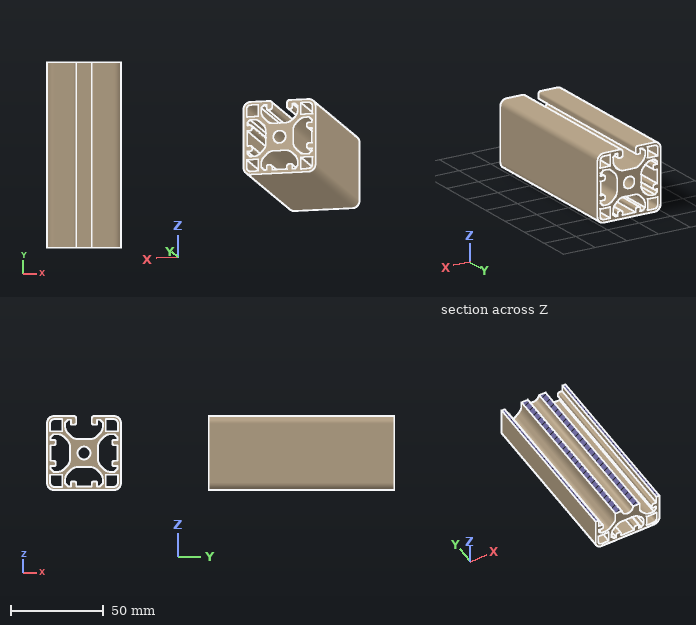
import cadquery as cq

side = 40.0
length = 100.0
corner_radius = 4.0
half_side = side / 2
half_length = length / 2

bore_diameter = 6.8

hollow_wall = 1.8
hollow_inner = 11.8
hollow_outer = half_side - hollow_wall
hollow_radius = corner_radius - hollow_wall

skin = 2.1
cavity_half_width = 10.1
cavity_floor = 7.6
cavity_ceiling = half_side - skin
ceiling_chamfer = 1.6
flank_rise = 2.1
flank_radius = 5.0

slot_half_width = 4.1
lip_width = 3.0
lip_tip = 15.2
lip_outer_radius = 0.8
lip_inner_radius = 1.2
mouth_radius = 1.5

side_turns = (0, 90, 180, 270)


def bar(left, bottom, right, top):
    """Full-length rectangular bar with the given limits in X and Z."""
    centre = ((left + right) / 2, 0, (bottom + top) / 2)
    return cq.Workplane("XY").box(right - left, length, top - bottom).translate(centre)


def turned(shape, angle):
    """Shape rotated about the profile axis."""
    return shape.rotate((0, 0, 0), (0, 1, 0), angle)


def make_body():
    """Solid square bar with rounded long edges."""
    return bar(-half_side, -half_side, half_side, half_side).edges("|Y").fillet(corner_radius)


def make_bore():
    """Round bore along the profile axis."""
    return cq.Workplane("XZ").circle(bore_diameter / 2).extrude(half_length, both=True)


def make_corner_hollow():
    """Hollow of the +X +Z corner, rounded only at its outermost edge."""
    hollow = bar(hollow_inner, hollow_inner, hollow_outer, hollow_outer)
    return hollow.edges(">X and >Z").fillet(hollow_radius)


def make_lip():
    """Lip on the +X side of the top slot, reaching up to the outer face."""
    lip = bar(slot_half_width, lip_tip, slot_half_width + lip_width, half_side)
    lip = lip.edges("<X and <Z").fillet(lip_inner_radius)
    return lip.edges("|Y and >X and <Z").fillet(lip_outer_radius)


def make_cavity():
    """Cavity under the skin of the top side, with both lips left standing."""
    floor_corner = (cavity_floor - flank_rise, cavity_floor)
    wall_corner = (cavity_half_width, cavity_half_width + flank_rise)
    right_side = [
        floor_corner,
        wall_corner,
        (cavity_half_width, cavity_ceiling - ceiling_chamfer),
        (cavity_half_width - ceiling_chamfer, cavity_ceiling),
    ]
    left_side = [(-x, z) for x, z in reversed(right_side)]
    cavity = cq.Workplane("XZ").polyline(right_side + left_side).close().extrude(half_length, both=True)
    for x, z in (floor_corner, wall_corner):
        for sign in (-1, 1):
            cavity = cavity.edges(cq.NearestToPointSelector((sign * x, 0, z))).fillet(flank_radius)

    lip = make_lip()
    return cavity.cut(lip).cut(lip.mirror("YZ"))


def make_slot_mouth():
    """Opening through the top skin between the lips, flared by rounded edges."""
    flare_half_width = slot_half_width + mouth_radius
    bottom = lip_tip + lip_inner_radius
    rounding_start = half_side - mouth_radius
    mouth = (
        cq.Workplane("XZ")
        .moveTo(-slot_half_width, bottom)
        .lineTo(slot_half_width, bottom)
        .lineTo(slot_half_width, rounding_start)
        .radiusArc((flare_half_width, half_side), mouth_radius)
        .lineTo(-flare_half_width, half_side)
        .radiusArc((-slot_half_width, rounding_start), mouth_radius)
        .close()
    )
    return mouth.extrude(half_length, both=True)


result = make_body().cut(make_bore())
for angle in side_turns:
    result = result.cut(turned(make_corner_hollow(), angle))
    result = result.cut(turned(make_cavity(), angle))

result = result.cut(make_slot_mouth())